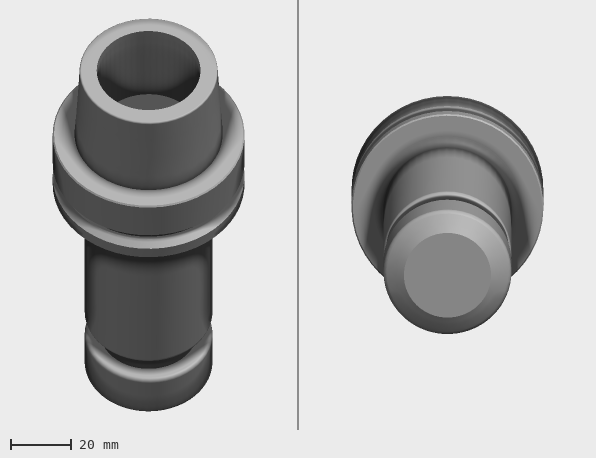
import cadquery as cq
import math

total_height = 152.0
flange_top = 120.1
flange_bottom = 94.1
body_bottom = 28.5
nut_top = 19.9

taper_top_radius = 22.6
taper_base_radius = 24.3
taper_rim_round = 0.6
bore_radius = 17.0
bore_depth = total_height - flange_top

flange_radius = 31.5
flange_edge_chamfer = 0.5
groove_radius = 27.5
groove_floor_radius = 28.9
groove_upper_edge = 105.6
groove_lower_edge = 98.8
groove_flank_angle = math.radians(30)
groove_upper_flank_height = (flange_radius - groove_radius) * math.tan(groove_flank_angle)
groove_floor = groove_lower_edge + (flange_radius - groove_floor_radius) * math.tan(groove_flank_angle)

body_radius = 21.0
body_top_fillet = 3.0
body_bottom_round = 1.8
collar_radius = 16.3
collar_fillet = 2.0
neck_radius = 16.0

nut_radius = body_radius
nut_top_round = 1.4
nut_face_radius = 14.3
nut_cone_angle = math.radians(30)
nut_cone_top = (nut_radius - nut_face_radius) * math.tan(nut_cone_angle)
nut_cone_round = 2.0


def ring_profile(points):
    """Revolve a closed outline of (radius, height) points about Z."""
    return cq.Workplane("XZ").polyline(points).close().revolve(360, (0, 0), (0, 1))


def cylinder(radius, bottom, top):
    return cq.Workplane("XY").workplane(offset=bottom).circle(radius).extrude(top - bottom)


def make_taper():
    taper = ring_profile([
        (0, flange_top),
        (taper_base_radius, flange_top),
        (taper_top_radius, total_height),
        (0, total_height),
    ])
    return taper.faces(">Z").edges().fillet(taper_rim_round)


def make_flange():
    flange = ring_profile([
        (0, flange_bottom),
        (flange_radius, flange_bottom),
        (flange_radius, groove_lower_edge),
        (groove_floor_radius, groove_floor),
        (groove_radius, groove_floor),
        (groove_radius, groove_upper_edge - groove_upper_flank_height),
        (flange_radius, groove_upper_edge),
        (flange_radius, flange_top),
        (0, flange_top),
    ])
    return flange.faces("<Z or >Z").edges().chamfer(flange_edge_chamfer)


def make_flared_ring(radius, top, fillet):
    """Disc that widens upward through a concave fillet of a shaft of the given radius."""
    arc_offset = fillet * (1 - math.sqrt(0.5))
    return (
        cq.Workplane("XZ")
        .moveTo(0, top - fillet)
        .lineTo(radius, top - fillet)
        .threePointArc((radius + arc_offset, top - arc_offset), (radius + fillet, top))
        .lineTo(0, top)
        .close()
        .revolve(360, (0, 0), (0, 1))
    )


def make_body():
    body = cylinder(body_radius, body_bottom, flange_bottom)
    body = body.faces("<Z").edges().fillet(body_bottom_round)
    return body.union(make_flared_ring(body_radius, flange_bottom, body_top_fillet))


def make_neck():
    neck = cylinder(neck_radius, nut_top, body_bottom)
    return neck.union(make_flared_ring(collar_radius, body_bottom, collar_fillet))


def make_nut():
    nut = ring_profile([
        (0, 0),
        (nut_face_radius, 0),
        (nut_radius, nut_cone_top),
        (nut_radius, nut_top),
        (0, nut_top),
    ])
    nut = nut.faces(">Z").edges().fillet(nut_top_round)
    cone_edge = cq.selectors.BoxSelector(
        (-2 * nut_radius, -2 * nut_radius, nut_cone_top / 2),
        (2 * nut_radius, 2 * nut_radius, nut_cone_top * 1.1),
        boundingbox=True,
    )
    return nut.edges(cone_edge).edges("%CIRCLE").fillet(nut_cone_round)


holder = make_nut().union(make_neck()).union(make_body()).union(make_flange()).union(make_taper())
bore = cylinder(bore_radius, total_height - bore_depth, total_height)
result = holder.cut(bore)